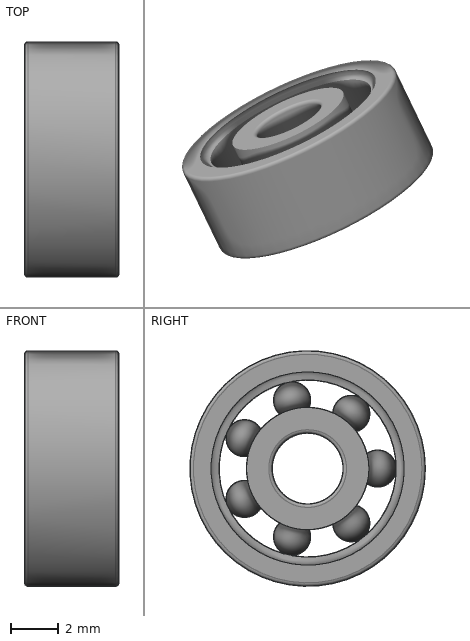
import cadquery as cq
import math

width = 4.0
outer_radius = 10.0 / 2
outer_ring_bore_radius = 7.5 / 2
inner_ring_radius = 5.2 / 2
bore_radius = 3.0 / 2
edge_round = 0.15

seat_radius = 8.2 / 2
seat_groove_width = 0.22
shoulder_depth = 0.28

ball_count = 7
ball_radius = 0.79
pitch_radius = 5.94 / 2

half_width = width / 2


def revolve_about_x(profile):
    """Turn a closed profile, drawn as (x, radius), about the bearing axis."""
    return profile.close().revolve(360, (0, 0, 0), (1, 0, 0))


def raceway_half_width(surface_radius):
    """Half the width of the ball groove where it opens onto a cylinder."""
    return math.sqrt(ball_radius**2 - (surface_radius - pitch_radius) ** 2)


def make_outer_ring():
    groove_end = half_width - seat_groove_width
    groove_middle = half_width - seat_groove_width / 2
    groove_bottom = seat_radius + seat_groove_width / 2
    shoulder = half_width - shoulder_depth
    race = raceway_half_width(outer_ring_bore_radius)

    ring = revolve_about_x(
        cq.Workplane("XY")
        .moveTo(-half_width, outer_radius)
        .lineTo(-half_width, seat_radius)
        .threePointArc((-groove_middle, groove_bottom), (-groove_end, seat_radius))
        .lineTo(-shoulder, outer_ring_bore_radius)
        .lineTo(-race, outer_ring_bore_radius)
        .threePointArc((0, pitch_radius + ball_radius), (race, outer_ring_bore_radius))
        .lineTo(shoulder, outer_ring_bore_radius)
        .lineTo(groove_end, seat_radius)
        .threePointArc((groove_middle, groove_bottom), (half_width, seat_radius))
        .lineTo(half_width, outer_radius)
    )
    outer_edges = cq.selectors.RadiusNthSelector(-1)
    return ring.faces("<X or >X").edges(outer_edges).fillet(edge_round)


def make_inner_ring():
    race = raceway_half_width(inner_ring_radius)

    ring = revolve_about_x(
        cq.Workplane("XY")
        .moveTo(-half_width, bore_radius)
        .lineTo(-half_width, inner_ring_radius)
        .lineTo(-race, inner_ring_radius)
        .threePointArc((0, pitch_radius - ball_radius), (race, inner_ring_radius))
        .lineTo(half_width, inner_ring_radius)
        .lineTo(half_width, bore_radius)
    )
    bore_edges = cq.selectors.RadiusNthSelector(0)
    return ring.faces("<X or >X").edges(bore_edges).fillet(edge_round)


def make_ball(index):
    """One ball on the pitch circle; the first one lies on +Y."""
    angle = 2 * math.pi * index / ball_count
    center = (0, pitch_radius * math.cos(angle), pitch_radius * math.sin(angle))
    return cq.Workplane("YZ").sphere(ball_radius).translate(center)


outer_ring = make_outer_ring()
inner_ring = make_inner_ring()
balls = [make_ball(index) for index in range(ball_count)]

result = cq.Compound.makeCompound(
    [outer_ring.solids().val(), inner_ring.solids().val(), *[ball.val() for ball in balls]]
)